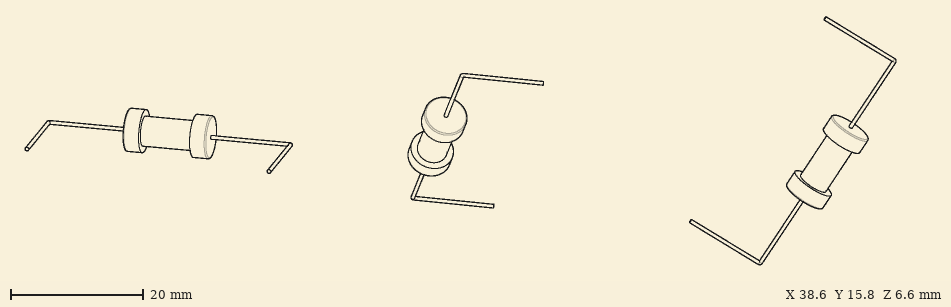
import cadquery as cq
import math

body_length = 13.0
cap_length = 2.5
cap_diameter = 6.6
waist_diameter = 4.6
cap_edge_radius = 0.2

lead_diameter = 0.6
lead_pitch = 38.0
lead_reach = 12.5
bend_radius = 0.2
bend_angle = 90.0

waist_length = body_length - 2 * cap_length
lead_radius = lead_diameter / 2


def cylinder_along_x(diameter, start_x, length):
    return cq.Workplane("YZ", origin=(start_x, 0, 0)).circle(diameter / 2).extrude(length)


def make_body():
    """Waist with two caps, each cap rounded on its outer rim."""
    waist = cylinder_along_x(waist_diameter, -waist_length / 2, waist_length)
    left_cap = cylinder_along_x(cap_diameter, -body_length / 2, cap_length)
    left_cap = left_cap.faces("<X").edges().fillet(cap_edge_radius)
    right_cap = left_cap.mirror("YZ")
    return waist.union(left_cap).union(right_cap)


def make_right_lead():
    """Straight run from the cap face, a quarter-turn bend, then the leg along -Y."""
    bend_start_x = lead_pitch / 2 - bend_radius
    lead_start_x = body_length / 2
    run = cylinder_along_x(lead_diameter, lead_start_x, bend_start_x - lead_start_x)

    half_chord = math.sqrt(lead_radius**2 - bend_radius**2)
    bend = (
        cq.Workplane("YZ", origin=(bend_start_x, 0, 0))
        .moveTo(-bend_radius, half_chord)
        .threePointArc((lead_radius, 0), (-bend_radius, -half_chord))
        .close()
        .revolve(bend_angle, (-bend_radius, 0, 0), (-bend_radius, -1, 0))
    )

    leg = (
        cq.Workplane("XZ", origin=(lead_pitch / 2, -bend_radius, 0))
        .circle(lead_radius)
        .extrude(lead_reach - bend_radius)
    )
    return run.union(bend).union(leg)


right_lead = make_right_lead()
left_lead = right_lead.mirror("YZ")
result = make_body().union(right_lead).union(left_lead)